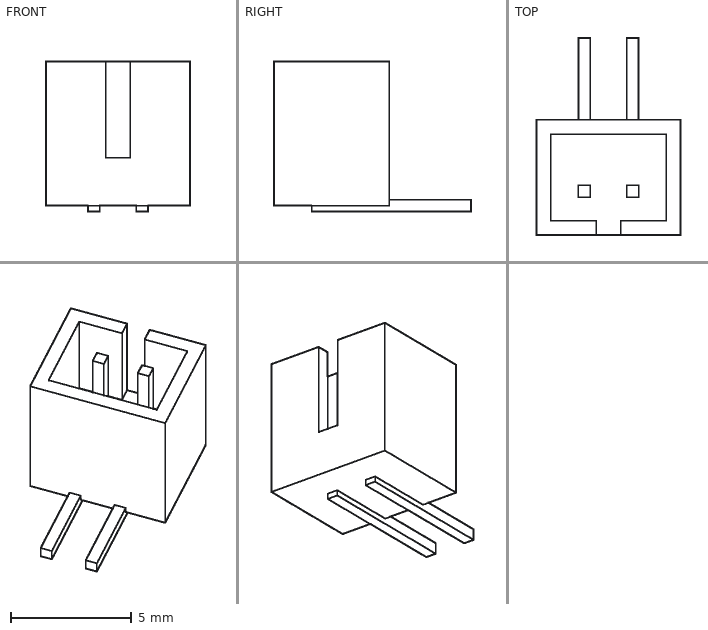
import cadquery as cq

housing_width = 6.0
housing_depth = 4.8
housing_height = 6.0
wall = 0.6
cavity_depth = 4.0
slot_width = 1.0

pin_size = 0.5
pin_pitch = 2.0
pin_front = 1.57
pin_tip_recess = 0.5
overall_depth = 8.2
pin_drop = 0.25


def box(width, depth, height, front, bottom, center_x=0):
    """Box centred on center_x, starting at the given front and bottom."""
    return (
        cq.Workplane("XY")
        .box(width, depth, height, centered=(True, False, False))
        .translate((center_x, front, bottom))
    )


def make_housing():
    floor = housing_height - cavity_depth
    body = box(housing_width, housing_depth, housing_height, 0, 0)
    cavity = box(housing_width - 2 * wall, housing_depth - 2 * wall, cavity_depth, wall, floor)
    slot = box(slot_width, 2 * wall, cavity_depth, 0, floor)
    return body.cut(cavity).cut(slot)


def make_pin(center_x):
    leg_height = housing_height - pin_tip_recess + pin_drop
    tail_length = overall_depth - pin_front
    leg = box(pin_size, pin_size, leg_height, pin_front, -pin_drop, center_x)
    tail = box(pin_size, tail_length, pin_size, pin_front, -pin_drop, center_x)
    return leg.union(tail)


result = make_housing()
for side in (-1, 1):
    result = result.union(make_pin(side * pin_pitch / 2))